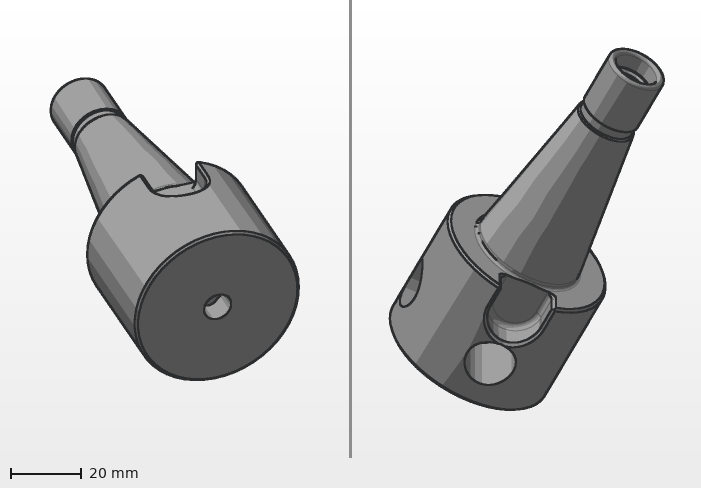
import cadquery as cq
import math

total_length = 108.4
flange_face_x = 70.0
flange_diameter = 50.0
flange_radius = flange_diameter / 2
flange_chamfer = 0.8

collar_radius = 8.7
collar_rounding = 1.0
collar_end_x = 17.0
groove_radius = 8.2
groove_end_x = 19.7
collar_edge_chamfer = 0.2
taper_edge_chamfer = 0.4

taper_slope = 7 / 24 / 2
taper_start_x = groove_end_x + taper_edge_chamfer
taper_end_x = 68.2
taper_end_diameter = 31.8
taper_end_radius = taper_end_diameter / 2
taper_start_radius = taper_end_radius - taper_slope * (taper_end_x - taper_start_x)
neck_fillet = 0.9

entry_radius = 6.5
entry_rounding = collar_rounding
entry_depth = 5.4
cone_radius = 6.2
core_radius = 5.2
core_depth = 27.1
through_radius = 4.1

slot_half_width = 8.0
slot_center_x = 77.8
slot_floor_height = 16.2
slot_floor_fillet = 1.6
slot_chamfer = 1.0
slot_mouth_half_width = slot_half_width + slot_chamfer
slot_open_x = flange_face_x - neck_fillet

screw_hole_x = 94.0
screw_hole_radius = 7.3

selection_margin = 0.1


def revolve_about_x(profile):
    return profile.close().revolve(360, (0, 0, 0), (1, 0, 0))


def turn_about_x(body, angle):
    return body.rotate((0, 0, 0), (1, 0, 0), angle)


def make_blank():
    """Collar, groove, taper and flange as one turned solid."""
    return revolve_about_x(
        cq.Workplane("XY")
        .lineTo(0, collar_radius - collar_rounding)
        .radiusArc((collar_rounding, collar_radius), collar_rounding)
        .lineTo(collar_end_x - collar_edge_chamfer, collar_radius)
        .lineTo(collar_end_x, groove_radius)
        .lineTo(groove_end_x, groove_radius)
        .lineTo(taper_start_x, taper_start_radius)
        .lineTo(taper_end_x, taper_end_radius)
        .lineTo(flange_face_x - neck_fillet, taper_end_radius)
        .radiusArc((flange_face_x, taper_end_radius + neck_fillet), -neck_fillet)
        .lineTo(flange_face_x, flange_radius - flange_chamfer)
        .lineTo(flange_face_x + flange_chamfer, flange_radius)
        .lineTo(total_length - flange_chamfer, flange_radius)
        .lineTo(total_length, flange_radius - flange_chamfer)
        .lineTo(total_length, 0)
    )


def make_bore():
    """Rounded entry, a shallow step with a 45 degree cone, the core hole and the through hole."""
    return revolve_about_x(
        cq.Workplane("XY")
        .lineTo(0, entry_radius + entry_rounding)
        .radiusArc((entry_rounding, entry_radius), -entry_rounding)
        .lineTo(entry_depth, entry_radius)
        .lineTo(entry_depth, cone_radius)
        .lineTo(entry_depth + cone_radius - core_radius, core_radius)
        .lineTo(core_depth, core_radius)
        .lineTo(core_depth, through_radius)
        .lineTo(total_length, through_radius)
        .lineTo(total_length, 0)
    )


def floor_sketch():
    return cq.Workplane("XY").workplane(offset=slot_floor_height)


def slot_block(outline):
    """Solid from the slot floor out to the flange radius."""
    return outline.close().extrude(flange_radius - slot_floor_height)


def fillet_floor(block):
    """Round the floor edges of a slot block, except the edge at its open end."""
    floor_edges = block.faces("<Z").edges("not <X")
    return block.newObject(floor_edges.vals()).fillet(slot_floor_fillet)


def make_upper_slot():
    """U-shaped slot whose 45 degree mouth chamfer runs straight down to the floor."""
    slot = slot_block(
        floor_sketch()
        .moveTo(slot_open_x, -slot_half_width)
        .lineTo(slot_center_x, -slot_half_width)
        .radiusArc((slot_center_x, slot_half_width), -slot_half_width)
        .lineTo(slot_open_x, slot_half_width)
    )
    flat_half_width = slot_half_width - slot_floor_fillet
    mouth_end_x = flange_face_x + slot_mouth_half_width - flat_half_width
    mouth = slot_block(
        floor_sketch()
        .moveTo(slot_open_x, -slot_mouth_half_width)
        .lineTo(flange_face_x, -slot_mouth_half_width)
        .lineTo(mouth_end_x, -flat_half_width)
        .lineTo(mouth_end_x, flat_half_width)
        .lineTo(flange_face_x, slot_mouth_half_width)
        .lineTo(slot_open_x, slot_mouth_half_width)
    )
    return fillet_floor(slot).union(mouth)


def make_lower_slot():
    """U-shaped slot whose floor fillet follows the mouth chamfer out to the flange face."""
    chamfer_end_x = flange_face_x + slot_chamfer
    slot = slot_block(
        floor_sketch()
        .moveTo(slot_open_x, -slot_mouth_half_width)
        .lineTo(flange_face_x, -slot_mouth_half_width)
        .lineTo(chamfer_end_x, -slot_half_width)
        .lineTo(slot_center_x, -slot_half_width)
        .radiusArc((slot_center_x, slot_half_width), -slot_half_width)
        .lineTo(chamfer_end_x, slot_half_width)
        .lineTo(flange_face_x, slot_mouth_half_width)
        .lineTo(slot_open_x, slot_mouth_half_width)
    )
    return turn_about_x(fillet_floor(slot), 180)


def chamfer_slot_rim(body, side):
    """Chamfer where the slot walls meet the flange's cylinder; side is 1 for +Z and -1 for -Z."""
    rim_start_x = flange_face_x + slot_chamfer
    rim_end_x = slot_center_x + slot_half_width
    rim_height = math.sqrt(flange_radius**2 - slot_half_width**2)
    rim_edges = cq.selectors.BoxSelector(
        (
            rim_start_x - selection_margin,
            -slot_half_width - selection_margin,
            side * (rim_height - selection_margin),
        ),
        (
            rim_end_x + selection_margin,
            slot_half_width + selection_margin,
            side * (flange_radius + selection_margin),
        ),
        boundingbox=True,
    )
    return body.edges(rim_edges).chamfer(slot_chamfer)


def make_screw_hole():
    """Radial hole along +Z, from the axis out through the flange."""
    return cq.Workplane("XY", origin=(screw_hole_x, 0, 0)).circle(screw_hole_radius).extrude(flange_radius)


def make_holder():
    holder = make_blank().cut(make_bore())
    holder = holder.cut(make_upper_slot()).cut(make_lower_slot())
    for side in (1, -1):
        holder = chamfer_slot_rim(holder, side)
    for hole_angle in (-90, 180):
        holder = holder.cut(turn_about_x(make_screw_hole(), hole_angle))
    return holder


holder = make_holder()
result = cq.Compound.makeCompound([holder.val()])